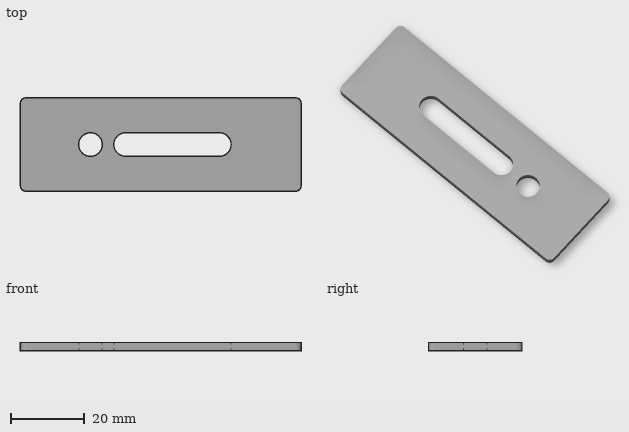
import cadquery as cq

length = 76.2
width = 25.4
thickness = 2.31
corner_radius = 1.5875

opening_width = 6.35
hole_x = -length / 4
slot_start_x = -length / 6
slot_end_x = length / 4
slot_length = slot_end_x - slot_start_x
slot_center_x = (slot_start_x + slot_end_x) / 2


def make_plate():
    """Flat plate, centred on the origin, with rounded vertical corners."""
    blank = cq.Workplane("XY").box(length, width, thickness)
    return blank.edges("|Z").fillet(corner_radius)


def cut_hole(plate):
    """Round through hole beside the slot."""
    return plate.faces(">Z").workplane(origin=(0, 0, 0)).center(hole_x, 0).hole(opening_width)


def cut_slot(plate):
    """Round-ended through slot running along X."""
    top = plate.faces(">Z").workplane(origin=(0, 0, 0))
    return top.center(slot_center_x, 0).slot2D(slot_length, opening_width).cutThruAll()


result = cut_slot(cut_hole(make_plate()))